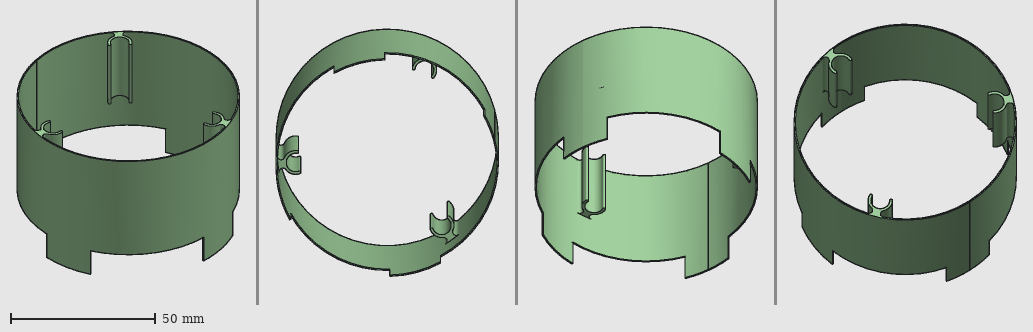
import cadquery as cq
import math

outer_diameter = 77.2
outer_radius = outer_diameter / 2
wall = 0.5
inner_radius = outer_radius - wall
total_height = 49.95

slit_width = 0.1

foot_width = 18.2
foot_height = 10.0

clip_count = 3
first_clip_angle = 8.8
clip_length = 25.0
clip_center_radius = 31.95
clip_bore_radius = 3.25
clip_thickness = 1.0
clip_outer_radius = clip_bore_radius + clip_thickness
clip_tip_angle = 105.0
stem_width = 3.0
stem_fillet = 1.2


def make_sleeve():
    return cq.Workplane("XY").circle(outer_radius).circle(inner_radius).extrude(total_height)


def make_foot_keeper():
    """Two crossed bars covering everything that remains at foot level."""
    bar = cq.Workplane("XY").rect(outer_diameter, foot_width).extrude(foot_height)
    return bar.union(bar.rotate((0, 0, 0), (0, 0, 1), 90))


def cut_between_feet(sleeve):
    foot_level = cq.Workplane("XY").circle(outer_radius).extrude(foot_height)
    return sleeve.cut(foot_level.cut(make_foot_keeper()))


def make_slit():
    slit_depth = 2 * wall
    return (
        cq.Workplane("XY")
        .center(-outer_radius, 0)
        .rect(2 * slit_depth, slit_width)
        .extrude(total_height)
    )


def clip_point(radius, angle):
    """Point at a polar position around the clip axis, zero angle facing the wall."""
    turn = math.radians(angle)
    return (clip_center_radius + radius * math.cos(turn), radius * math.sin(turn))


def make_clip_arms(base):
    tip_radius = clip_thickness / 2
    middle_radius = clip_bore_radius + tip_radius
    arms = (
        base.moveTo(*clip_point(clip_outer_radius, -clip_tip_angle))
        .threePointArc(clip_point(clip_outer_radius, 0), clip_point(clip_outer_radius, clip_tip_angle))
        .lineTo(*clip_point(clip_bore_radius, clip_tip_angle))
        .threePointArc(clip_point(clip_bore_radius, 0), clip_point(clip_bore_radius, -clip_tip_angle))
        .close()
        .extrude(clip_length)
    )
    for angle in (-clip_tip_angle, clip_tip_angle):
        tip = base.moveTo(*clip_point(middle_radius, angle)).circle(tip_radius).extrude(clip_length)
        arms = arms.union(tip)
    return arms


def make_stem(base):
    """Stem from clip to wall, its sides flaring tangentially into both."""
    half_width = stem_width / 2
    fillet_y = half_width + stem_fillet
    clip_fillet_x = clip_center_radius + math.sqrt((clip_outer_radius + stem_fillet) ** 2 - fillet_y**2)
    wall_fillet_x = math.sqrt((inner_radius - stem_fillet) ** 2 - fillet_y**2)

    clip_share = clip_outer_radius / (clip_outer_radius + stem_fillet)
    clip_x = clip_center_radius + clip_share * (clip_fillet_x - clip_center_radius)
    clip_y = clip_share * fillet_y
    wall_share = inner_radius / (inner_radius - stem_fillet)
    wall_x = wall_share * wall_fillet_x
    wall_y = wall_share * fillet_y

    root_x = clip_center_radius + clip_bore_radius + clip_thickness / 2
    embedded_x = outer_radius - wall / 2
    stem = base.center((root_x + embedded_x) / 2, 0).rect(embedded_x - root_x, stem_width).extrude(clip_length)
    for side in (-1, 1):
        web = (
            base.moveTo(clip_x, 0)
            .lineTo(clip_x, side * clip_y)
            .lineTo(clip_fillet_x, side * fillet_y)
            .lineTo(wall_fillet_x, side * fillet_y)
            .lineTo(wall_x, side * wall_y)
            .lineTo(embedded_x, side * wall_y)
            .lineTo(embedded_x, 0)
            .close()
            .extrude(clip_length)
        )
        for fillet_x in (clip_fillet_x, wall_fillet_x):
            web = web.cut(base.moveTo(fillet_x, side * fillet_y).circle(stem_fillet).extrude(clip_length))
        stem = stem.union(web)
    return stem


def make_clip():
    base = cq.Workplane("XY", origin=(0, 0, total_height - clip_length))
    return make_clip_arms(base).union(make_stem(base))


result = cut_between_feet(make_sleeve()).cut(make_slit())
clip = make_clip()
for index in range(clip_count):
    clip_angle = first_clip_angle + index * 360 / clip_count
    result = result.union(clip.rotate((0, 0, 0), (0, 0, 1), clip_angle))